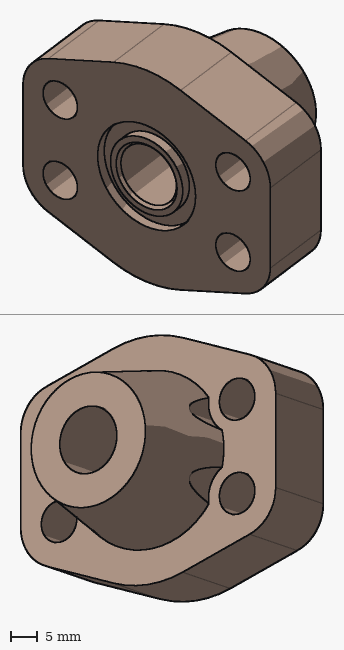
import cadquery as cq
import math

flange_length = 58.0
flange_height = 48.0
flange_thickness = 16.0

bolt_x = 20.25
bolt_z = 9.1
bolt_hole_diameter = 8.05
bolt_head_clearance_radius = 6.5

total_depth = 36.0
neck_base_diameter = 34.45
neck_tip_diameter = 26.0

bore_diameter = 13.0
bore_chamfer = 0.65
groove_outer_diameter = 22.95
groove_inner_diameter = 16.95
groove_depth = 2.1

crown_radius = flange_height / 2
corner_radius = flange_length / 2 - bolt_x
bolt_centers = [(sx * bolt_x, sz * bolt_z) for sx in (-1, 1) for sz in (-1, 1)]


def front_plane(depth=0):
    """Sketch plane with local x = X, local y = Z, facing -Y, at the given depth."""
    return cq.Workplane("XZ", origin=(0, depth, 0))


def make_flange():
    """Hull of the crown circle and four corner circles, extruded along Y."""
    bolt_distance = math.hypot(bolt_x, bolt_z)
    flank_angle = math.atan2(bolt_z, bolt_x) + math.acos((crown_radius - corner_radius) / bolt_distance)

    def crown_point(angle):
        return crown_radius * math.cos(angle), crown_radius * math.sin(angle)

    def corner_point(angle):
        return bolt_x + corner_radius * math.cos(angle), bolt_z + corner_radius * math.sin(angle)

    def mirror_x(point):
        return -point[0], point[1]

    def mirror_z(point):
        return point[0], -point[1]

    def opposite(point):
        return -point[0], -point[1]

    side = corner_point(0)
    corner_middle = corner_point(flank_angle / 2)
    flank_low = corner_point(flank_angle)
    flank_high = crown_point(flank_angle)
    return (
        front_plane()
        .moveTo(*mirror_z(side))
        .lineTo(*side)
        .threePointArc(corner_middle, flank_low)
        .lineTo(*flank_high)
        .threePointArc((0, crown_radius), mirror_x(flank_high))
        .lineTo(*mirror_x(flank_low))
        .threePointArc(mirror_x(corner_middle), mirror_x(side))
        .lineTo(*opposite(side))
        .threePointArc(opposite(corner_middle), opposite(flank_low))
        .lineTo(*opposite(flank_high))
        .threePointArc((0, -crown_radius), mirror_z(flank_high))
        .lineTo(*mirror_z(flank_low))
        .threePointArc(mirror_z(corner_middle), mirror_z(side))
        .close()
        .extrude(-flange_thickness)
    )


def make_neck():
    """Tapered neck with scallops that clear the bolt heads."""
    neck_length = total_depth - flange_thickness
    cone = (
        front_plane(flange_thickness)
        .circle(neck_base_diameter / 2)
        .workplane(offset=-neck_length)
        .circle(neck_tip_diameter / 2)
        .loft()
    )
    scallops = (
        front_plane(flange_thickness)
        .pushPoints(bolt_centers)
        .circle(bolt_head_clearance_radius)
        .extrude(-neck_length)
    )
    return cone.cut(scallops)


def make_bore():
    """Through bore with a chamfered front mouth."""
    bore = front_plane().circle(bore_diameter / 2).extrude(-total_depth)
    mouth = (
        front_plane()
        .circle(bore_diameter / 2 + bore_chamfer)
        .extrude(-bore_chamfer, taper=45)
    )
    return bore.union(mouth)


bolt_holes = front_plane().pushPoints(bolt_centers).circle(bolt_hole_diameter / 2).extrude(-flange_thickness)
seal_groove = (
    front_plane()
    .circle(groove_outer_diameter / 2)
    .circle(groove_inner_diameter / 2)
    .extrude(-groove_depth)
)

result = make_flange().union(make_neck()).cut(make_bore()).cut(bolt_holes).cut(seal_groove)